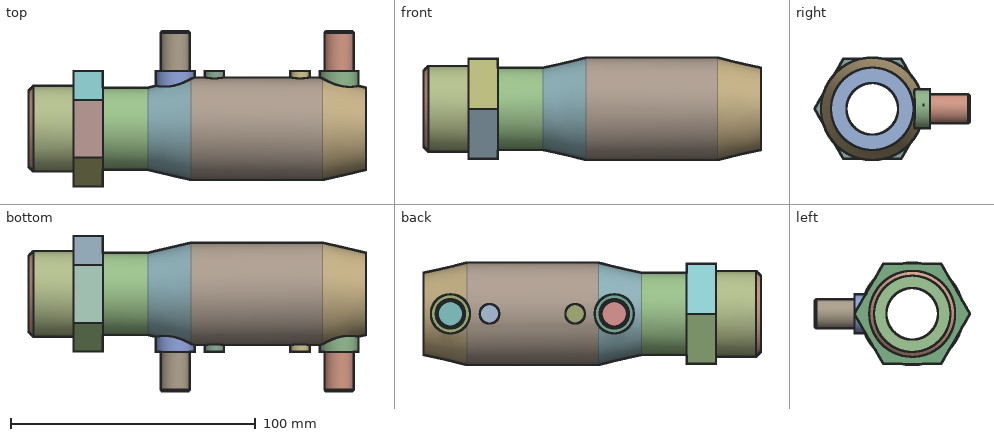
import cadquery as cq
import math

TOTAL_LENGTH = 138.0
BORE_DIAMETER = 21.0

SPIGOT_DIAMETER = 35.2
SPIGOT_CHAMFER = 2.0

HEX_ACROSS_FLATS = 41.0
HEX_START = 18.4
HEX_WIDTH = 12.0

NECK_DIAMETER = 33.7
BODY_DIAMETER = 42.0
TAPER_LENGTH = 17.7
REAR_TAPER_START = TOTAL_LENGTH - TAPER_LENGTH
BODY_LENGTH = 53.8
BODY_START = REAR_TAPER_START - BODY_LENGTH
NECK_END = BODY_START - TAPER_LENGTH

PORT_POSITIONS = (60.0, 127.0)
PORT_DIAMETER = 12.0
PORT_HEIGHT = 40.0
PORT_CHAMFER = 0.8
COLLAR_DIAMETER = 16.0
SHOULDER_HEIGHT = 23.7
STUD_POSITIONS = (76.0, 111.0)
STUD_DIAMETER = 8.0


def turned_body():
    """Solid of revolution: spigot, neck, tapers and barrel."""
    spigot_radius = SPIGOT_DIAMETER / 2
    neck_radius = NECK_DIAMETER / 2
    body_radius = BODY_DIAMETER / 2
    return (
        cq.Workplane("XY")
        .lineTo(0, spigot_radius - SPIGOT_CHAMFER)
        .lineTo(SPIGOT_CHAMFER, spigot_radius)
        .lineTo(HEX_START, spigot_radius)
        .lineTo(HEX_START, neck_radius)
        .lineTo(NECK_END, neck_radius)
        .lineTo(BODY_START, body_radius)
        .lineTo(REAR_TAPER_START, body_radius)
        .lineTo(TOTAL_LENGTH, neck_radius)
        .lineTo(TOTAL_LENGTH, 0)
        .close()
        .revolve(360, (0, 0, 0), (1, 0, 0))
    )


def hexagon():
    """Wrench hexagon with two corners on the Y axis."""
    across_corners = HEX_ACROSS_FLATS / math.cos(math.pi / 6)
    base = cq.Workplane("YZ").workplane(offset=HEX_START)
    return base.polygon(6, across_corners).extrude(HEX_WIDTH)


def radial_pin(x, diameter, height):
    """Cylinder from the main axis outward along +Y."""
    direction = cq.Vector(0, 1, 0)
    return cq.Workplane(cq.Solid.makeCylinder(diameter / 2, height, cq.Vector(x, 0, 0), direction))


def port(x):
    """Chamfered port tube standing on a wider collar."""
    tube = radial_pin(x, PORT_DIAMETER, PORT_HEIGHT).faces(">Y").chamfer(PORT_CHAMFER)
    return tube.union(radial_pin(x, COLLAR_DIAMETER, SHOULDER_HEIGHT))


def bore():
    """Through bore along the main axis."""
    return cq.Workplane("YZ").circle(BORE_DIAMETER / 2).extrude(TOTAL_LENGTH)


result = turned_body().union(hexagon())
for port_x in PORT_POSITIONS:
    result = result.union(port(port_x))
for stud_x in STUD_POSITIONS:
    result = result.union(radial_pin(stud_x, STUD_DIAMETER, SHOULDER_HEIGHT))
result = result.cut(bore())